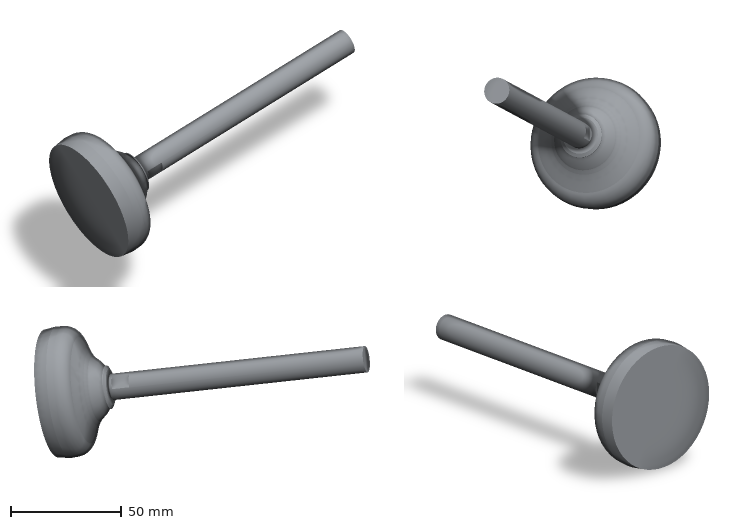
import cadquery as cq
import math

TOTAL_LENGTH = 148.0

BASE_RADIUS = 29.2
RIM_RADIUS = 29.97
RIM_HEIGHT = 5.9
SHOULDER_START_RADIUS = 29.7
SHOULDER_START_HEIGHT = 9.0
SHOULDER_END_RADIUS = 24.3
SHOULDER_END_HEIGHT = 15.7
SHOULDER_BULGE = 1.5
FLANK_HOLLOW = 0.22
WAIST_RADIUS = 16.6
WAIST_HEIGHT = 19.7
CONE_TOP_RADIUS = 14.8
CONE_TOP_HEIGHT = 21.0
DOME_TOP_RADIUS = 9.0
DOME_TOP_HEIGHT = 26.5
DOME_BULGE = 0.5

COLLAR_RADIUS = 9.9
COLLAR_EDGE_HEIGHT = 27.0
COLLAR_TOP_RADIUS = 8.3
COLLAR_TOP_HEIGHT = 27.8

SPINDLE_RADIUS = 6.0
SPINDLE_CHAMFER = 0.7
FLATS_START = 29.9
FLATS_LENGTH = 8.0
FLATS_WIDTH = 10.0


def arc_midpoint(start, end, bulge):
    """Point offset from the middle of a chord, to the right of its direction."""
    run = end[0] - start[0]
    rise = end[1] - start[1]
    length = math.hypot(run, rise)
    middle_x = (start[0] + end[0]) / 2
    middle_y = (start[1] + end[1]) / 2
    return (middle_x + bulge * rise / length, middle_y - bulge * run / length)


def make_foot():
    """Revolved pad with a rounded shoulder, a domed neck and a thin collar that overhangs the dome."""
    shoulder_start = (SHOULDER_START_RADIUS, SHOULDER_START_HEIGHT)
    shoulder_end = (SHOULDER_END_RADIUS, SHOULDER_END_HEIGHT)
    waist = (WAIST_RADIUS, WAIST_HEIGHT)
    dome_start = (CONE_TOP_RADIUS, CONE_TOP_HEIGHT)
    dome_end = (DOME_TOP_RADIUS, DOME_TOP_HEIGHT)
    profile = (
        cq.Workplane("XY")
        .moveTo(0, 0)
        .lineTo(BASE_RADIUS, 0)
        .lineTo(RIM_RADIUS, RIM_HEIGHT)
        .lineTo(*shoulder_start)
        .threePointArc(arc_midpoint(shoulder_start, shoulder_end, SHOULDER_BULGE), shoulder_end)
        .threePointArc(arc_midpoint(shoulder_end, waist, -FLANK_HOLLOW), waist)
        .lineTo(*dome_start)
        .threePointArc(arc_midpoint(dome_start, dome_end, DOME_BULGE), dome_end)
        .lineTo(COLLAR_RADIUS, DOME_TOP_HEIGHT)
        .lineTo(COLLAR_RADIUS, COLLAR_EDGE_HEIGHT)
        .lineTo(COLLAR_TOP_RADIUS, COLLAR_TOP_HEIGHT)
        .lineTo(0, COLLAR_TOP_HEIGHT)
        .close()
    )
    return profile.revolve(360, (0, 0, 0), (0, 1, 0))


def make_spindle():
    """Round rod standing on the collar, with two wrench flats facing +X and -X."""
    rod = (
        cq.Workplane("XZ", origin=(0, COLLAR_TOP_HEIGHT, 0))
        .circle(SPINDLE_RADIUS)
        .extrude(COLLAR_TOP_HEIGHT - TOTAL_LENGTH)
        .faces("<Y")
        .chamfer(SPINDLE_CHAMFER)
    )
    flat_depth = SPINDLE_RADIUS - FLATS_WIDTH / 2
    for side in (-1, 1):
        cutter = cq.Workplane("XY").box(flat_depth, FLATS_LENGTH, 2 * SPINDLE_RADIUS)
        cutter_x = side * (FLATS_WIDTH + flat_depth) / 2
        rod = rod.cut(cutter.translate((cutter_x, FLATS_START + FLATS_LENGTH / 2, 0)))
    return rod


foot = make_foot()
spindle = make_spindle()
result = cq.Compound.makeCompound([foot.val(), spindle.val()])